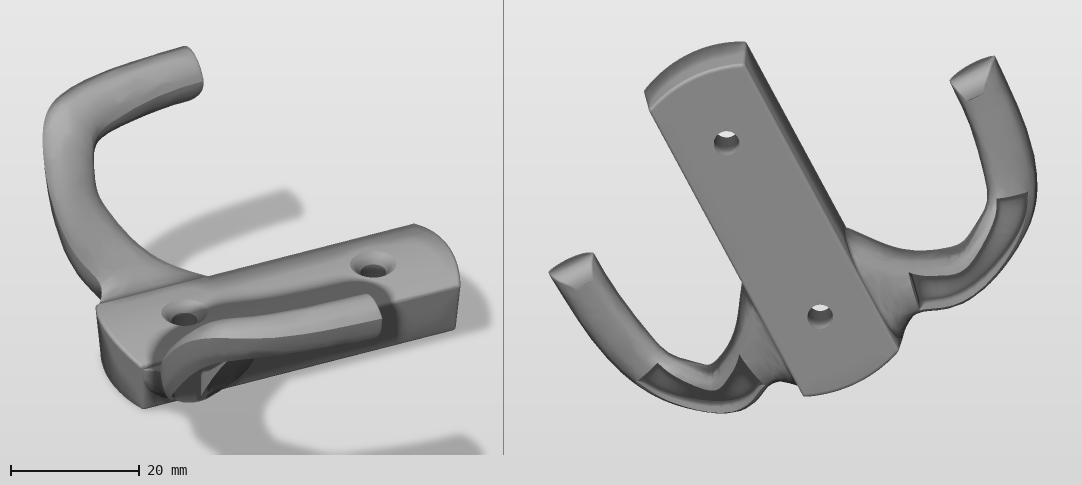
import cadquery as cq
import math

plate_half_width = 8.35
plate_half_length = 28.25
plate_end_bow = 1.8
plate_height = 10.4
plate_draft = 4.0
dome_drop = 1.3
plate_edge_radius = 0.55
block_excess = 1.55

hole_positions = (-15.8, 16.15)
hole_diameter = 4.0
countersink_diameter = 7.25

edge_low = 8.3
edge_high = 30.5
rise_start = 7.7
rise_end = 35.6
tip_y = 0.9
tip_bottom = 24.9
tip_under_radius = 3.1
tip_edge_radius = 0.3
arm_clearance = 7.8

key_sections = [
    ((-39.0, tip_y), (-31.05, tip_y), (2.2, 5.0, 5.0)),
    ((-38.55, -7.0), (-30.6, -7.0), (2.3, 4.9, 4.9)),
    ((-37.6, -14.1), (-29.4, -13.4), (2.4, 4.75, 4.4)),
    ((-35.6, -20.45), (-28.25, -17.6), (2.6, 5.15, 4.2)),
    ((-31.3, -26.05), (-26.4, -19.75), (2.9, 6.1, 6.7)),
    ((-23.9, -28.6), (-23.1, -20.9), (3.05, 7.3, 10.15)),
    ((-17.2, -27.4), (-20.2, -20.05), (2.5, 6.55, 10.5)),
    ((-13.2, -24.9), (-15.05, -15.6), (1.9, 6.55, 8.2)),
    ((-10.45, -25.4), (-10.85, -9.7), (0.9, 6.9, 6.9)),
    ((-8.7, -26.9), (-8.7, -6.9), (0.4, 7.3, 7.3)),
    ((-7.0, -26.9), (-7.0, -6.25), (0.4, 7.4, 7.4)),
]
steps_per_key = 2

underside_shape = [(0.95, 0.5), (0.83, 0.85), (0.5, 1.0), (0.17, 0.85), (0.05, 0.5)]

pocket_first_key = 3
pocket_last_key = 7
pocket_wall = 1.5
pocket_roof = 1.2
pocket_reach = 15.6


def edge_height(x):
    """Height of the arm's side edge at a distance |x| from the centre plane."""
    travel = (abs(x) - rise_start) / (rise_end - rise_start)
    travel = min(max(travel, 0.0), 1.0)
    return edge_low + (edge_high - edge_low) * (1 - math.cos(math.pi * travel)) / 2


def smooth_rail(points):
    """Smooth curve whose parameter 0, 1, 2... falls on the given points."""
    vectors = [cq.Vector(*point) for point in points]
    return cq.Edge.makeSpline(vectors, parameters=[float(key) for key in range(len(points))])


def blend_sections(first_key, last_key):
    """Sections interpolated smoothly between two of the key sections."""
    rails = [smooth_rail(column) for column in zip(*key_sections)]
    sections = []
    for step in range(first_key * steps_per_key, last_key * steps_per_key + 1):
        outer, inner, shape = [
            rail.positionAt(step / steps_per_key, mode="parameter").toTuple() for rail in rails
        ]
        sections.append((outer[:2], inner[:2], shape))
    return sections


def chord_point(outer, inner, fraction, lift):
    """Point on the line from outer to inner edge, moved vertically by lift."""
    start = cq.Vector(*outer, edge_height(outer[0]))
    end = cq.Vector(*inner, edge_height(inner[0]))
    return start + (end - start) * fraction + cq.Vector(0, 0, lift)


def arm_wire(outer, inner, shape):
    """Closed section: a low arc on top and a deep U underneath."""
    crest, outer_depth, inner_depth = shape
    start = chord_point(outer, inner, 0, 0)
    end = chord_point(outer, inner, 1, 0)
    top = cq.Edge.makeThreePointArc(start, chord_point(outer, inner, 0.5, crest), end)
    under = []
    for across, down in underside_shape:
        depth = outer_depth + (inner_depth - outer_depth) * across
        under.append(chord_point(outer, inner, across, -down * depth))
    bottom = cq.Edge.makeSpline([end] + under + [start])
    return cq.Wire.assembleEdges([top, bottom])


def pocket_wire(outer, inner):
    """Upright four-sided section inset from both side edges of the arm."""
    inset = pocket_wall / math.dist(outer, inner)
    corners = [
        chord_point(outer, inner, inset, -pocket_roof),
        chord_point(outer, inner, 1 - inset, -pocket_roof),
        chord_point(outer, inner, 1 - inset, -pocket_reach),
        chord_point(outer, inner, inset, -pocket_reach),
    ]
    return cq.Wire.makePolygon(corners, close=True)


def plate_outline(height):
    """Plate outline at a given height, widened by the draft, with bowed ends."""
    spread = height * math.tan(math.radians(plate_draft))
    side_x = plate_half_width + spread
    end_y = plate_half_length + spread
    corner_y = end_y - plate_end_bow
    return (
        cq.Workplane("XY", origin=(0, 0, height))
        .moveTo(-side_x, -corner_y)
        .threePointArc((0, -end_y), (side_x, -corner_y))
        .lineTo(side_x, corner_y)
        .threePointArc((0, end_y), (-side_x, corner_y))
        .close()
        .val()
    )


def make_plate():
    block_height = plate_height + block_excess
    outlines = [plate_outline(0), plate_outline(block_height)]
    block = cq.Workplane(cq.Solid.makeLoft(outlines, True))
    top_half_width = plate_half_width + plate_height * math.tan(math.radians(plate_draft))
    side_height = plate_height - dome_drop
    dome = (
        cq.Workplane("XZ")
        .moveTo(-top_half_width, 0)
        .lineTo(-top_half_width, side_height)
        .threePointArc((0, plate_height), (top_half_width, side_height))
        .lineTo(top_half_width, 0)
        .close()
        .extrude(2 * plate_half_length, both=True)
    )
    return block.intersect(dome).edges().fillet(plate_edge_radius)


def make_tip_rounding():
    """Material to remove below the arm's tip so that it ends in a rounded underside."""
    centre_y = tip_y - tip_under_radius
    centre_z = tip_bottom + tip_under_radius
    diagonal = tip_under_radius * math.sqrt(0.5)
    return (
        cq.Workplane("YZ")
        .moveTo(tip_y, centre_z)
        .threePointArc((centre_y + diagonal, centre_z - diagonal), (centre_y, tip_bottom))
        .lineTo(centre_y, tip_bottom - arm_clearance)
        .lineTo(tip_y + arm_clearance, tip_bottom - arm_clearance)
        .lineTo(tip_y + arm_clearance, centre_z)
        .close()
        .extrude(-rise_end - arm_clearance)
    )


def smooth_loft(wires):
    """Solid through matching wires, each edge keeping its counterpart in the next."""
    return cq.Workplane(cq.occ_impl.shapes.loft(*wires, cap=True, compat=False))


def make_arm():
    wires = [arm_wire(*section) for section in blend_sections(0, len(key_sections) - 1)]
    arm = smooth_loft(wires)
    arm = arm.cut(make_tip_rounding()).faces(">Y").edges().fillet(tip_edge_radius)
    pocket_spine = blend_sections(pocket_first_key, pocket_last_key)
    pocket_wires = [pocket_wire(outer, inner) for outer, inner, _ in pocket_spine]
    return arm.cut(smooth_loft(pocket_wires))


def make_screw_hole(y):
    """Through hole with a cone that opens to its full diameter at the plate's top."""
    cone_depth = (countersink_diameter - hole_diameter) / 2
    hole_radius = hole_diameter / 2
    return (
        cq.Workplane("XZ", origin=(0, y, 0))
        .lineTo(hole_radius, 0)
        .lineTo(hole_radius, plate_height - cone_depth)
        .lineTo(countersink_diameter / 2, plate_height)
        .lineTo(countersink_diameter / 2, plate_height + block_excess)
        .lineTo(0, plate_height + block_excess)
        .close()
        .revolve(360, (0, 0, 0), (0, 1, 0))
    )


left_arm = make_arm()
right_arm = left_arm.mirror("YZ")
result = make_plate().union(left_arm).union(right_arm)
for hole_y in hole_positions:
    result = result.cut(make_screw_hole(hole_y))